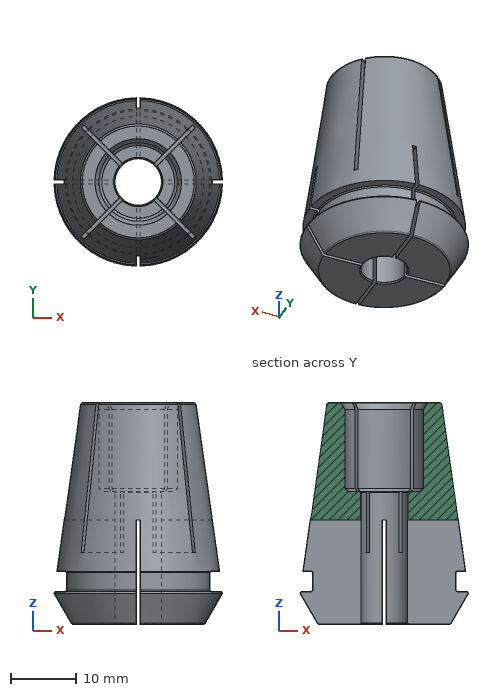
import cadquery as cq
import math

height = 34.0
edge_break = 0.2

flange_radius = 12.92
flange_rim_z = 4.75
flange_top_z = 5.03
nose_angle = math.radians(30)

groove_radius = 10.98
groove_top_z = 8.13

taper_base_radius = 12.48
taper_angle = math.radians(8)
top_chamfer = 0.3

bore_radius = 7.15 / 2
wide_bore_radius = 6.02
shoulder_z = 20.4
shoulder_chamfer = 0.45
mouth_radius = 6.63
mouth_depth = 1.02

slot_width = 0.6
lower_slot_top_z = 15.98
upper_slot_floor_z = 10.98


def outer_body():
    nose_radius = flange_radius - flange_rim_z * math.tan(nose_angle)
    nose_break_radius = nose_radius + edge_break * math.tan(nose_angle)
    taper_end_z = height - top_chamfer
    taper_end_radius = taper_base_radius - (taper_end_z - groove_top_z) * math.tan(taper_angle)
    outline = [
        (0, 0),
        (nose_radius - edge_break / 2, 0),
        (nose_break_radius, edge_break),
        (flange_radius, flange_rim_z),
        (flange_radius - edge_break, flange_top_z),
        (groove_radius + edge_break, flange_top_z),
        (groove_radius, flange_top_z + edge_break),
        (groove_radius, groove_top_z - edge_break),
        (groove_radius + edge_break, groove_top_z),
        (taper_base_radius, groove_top_z),
        (taper_end_radius, taper_end_z),
        (taper_end_radius - top_chamfer, height),
        (0, height),
    ]
    return revolve_outline(outline)


def bore():
    outline = [
        (0, 0),
        (bore_radius + edge_break, 0),
        (bore_radius, edge_break),
        (bore_radius, shoulder_z - edge_break),
        (bore_radius + edge_break, shoulder_z),
        (wide_bore_radius - shoulder_chamfer, shoulder_z),
        (wide_bore_radius, shoulder_z + shoulder_chamfer),
        (wide_bore_radius, height - mouth_depth),
        (mouth_radius, height),
        (0, height),
    ]
    return revolve_outline(outline)


def revolve_outline(points):
    """Revolve a closed (radius, z) outline about the Z axis."""
    return cq.Workplane("XZ").polyline(points).close().revolve(360, (0, 0, 0), (0, 1, 0))


def crossed_slots(bottom_z, top_z, first_angle):
    """Two perpendicular slots across the whole body between two heights."""
    slot_length = 3 * flange_radius
    slot = (
        cq.Workplane("XY")
        .workplane(offset=bottom_z)
        .rect(slot_length, slot_width)
        .extrude(top_z - bottom_z)
        .rotate((0, 0, 0), (0, 0, 1), first_angle)
    )
    return slot.union(slot.rotate((0, 0, 0), (0, 0, 1), 90))


lower_slots = crossed_slots(0, lower_slot_top_z, 0)
upper_slots = crossed_slots(upper_slot_floor_z, height, 45)

result = outer_body().cut(bore()).cut(lower_slots).cut(upper_slots)